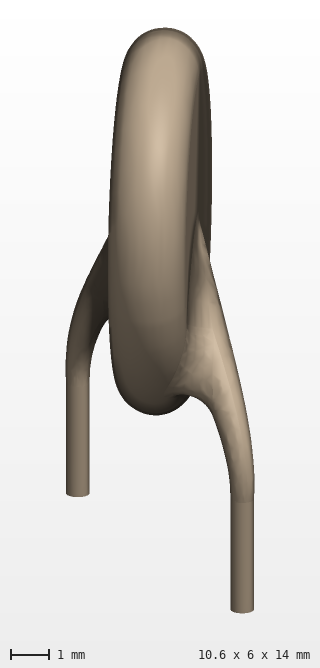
import cadquery as cq

disc_radius = 5.0
rim_radius = disc_radius / 5
flat_radius = disc_radius - rim_radius
disc_turn = -30

lead_diameter = 0.6
lead_radius = lead_diameter / 2
lead_x = disc_radius
lead_bottom = -9.0
bend_start = -5.99
lead_root_radius = 0.98

bend_lower = (4.21, -3.86)
bend_upper = (2.66, -2.27)
bend_end = (0.14, -0.14)
end_slope = 0.8

coat_sections = 6
swelling_power = 1.3
coat_blend = 0.98

seam_box = (
    (-flat_radius, -flat_radius, bend_start),
    (flat_radius, flat_radius, lead_root_radius),
)


def make_disc():
    """Revolve half of the disc section about the disc's own axis (Y)."""
    disc = (
        cq.Workplane("XY")
        .moveTo(0, -rim_radius)
        .lineTo(flat_radius, -rim_radius)
        .threePointArc((disc_radius, 0), (flat_radius, rim_radius))
        .lineTo(0, rim_radius)
        .close()
        .revolve(360, (0, 0, 0), (0, 1, 0))
    )
    return disc.rotate((0, 0, 0), (0, 0, 1), disc_turn)


def make_coated_bend():
    """Loft growing circles along the bend, from the straight wire to the disc centre."""
    path = cq.Edge.makeSpline(
        [
            cq.Vector(-lead_x, 0, bend_start),
            cq.Vector(-bend_lower[0], 0, bend_lower[1]),
            cq.Vector(-bend_upper[0], 0, bend_upper[1]),
            cq.Vector(-bend_end[0], 0, bend_end[1]),
        ],
        tangents=[cq.Vector(0, 0, 1), cq.Vector(1, 0, end_slope)],
    )
    rings = []
    for i in range(coat_sections):
        fraction = i / (coat_sections - 1)
        radius = lead_radius + (lead_root_radius - lead_radius) * fraction**swelling_power
        center = path.positionAt(fraction)
        rings.append(cq.Wire.makeCircle(radius, center, path.tangentAt(fraction)))
    return cq.Workplane(obj=cq.Solid.makeLoft(rings))


def make_straight_lead():
    return (
        cq.Workplane("XY", origin=(-lead_x, 0, lead_bottom))
        .circle(lead_radius)
        .extrude(bend_start - lead_bottom)
    )


def turn_half(shape):
    return shape.rotate((0, 0, 0), (0, 0, 1), 180)


disc = make_disc()
bend = make_coated_bend()
body = disc.union(bend).union(turn_half(bend))

inside_seam_box = cq.selectors.BoxSelector(*seam_box, boundingbox=True)
seams = body.edges("%BSPLINE").edges(inside_seam_box)
body = seams.fillet(coat_blend)

lead = make_straight_lead()
result = body.union(lead).union(turn_half(lead))